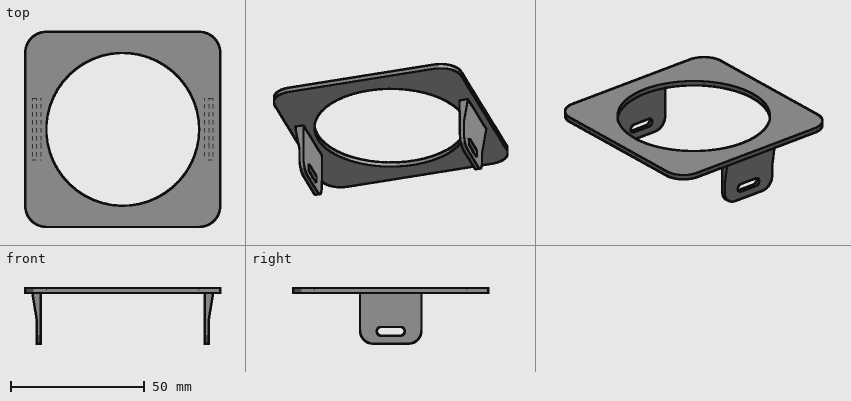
import cadquery as cq

plate_side = 73.0
plate_thickness = 1.9
plate_corner_radius = 8.0
opening_diameter = 57.0

total_height = 20.9
tab_width = 23.0
tab_thickness = 1.6
tab_inner_x = 30.6
tab_root_thickness = 3.2
tab_corner_radius = 5.0
taper_end_depth = 11.75

slot_length = 10.4
slot_height = 3.2
slot_depth = 16.2


def make_plate():
    return (
        cq.Workplane("XY")
        .rect(plate_side, plate_side)
        .circle(opening_diameter / 2)
        .extrude(-plate_thickness)
        .edges("|Z and (>X or <X)")
        .fillet(plate_corner_radius)
    )


def make_tab():
    """Tab on the +X side, thickened by a sloping outer face at its root."""
    tab_outer_x = tab_inner_x + tab_thickness
    root_outer_x = tab_inner_x + tab_root_thickness
    profile = [
        (tab_inner_x, -plate_thickness),
        (root_outer_x, -plate_thickness),
        (tab_outer_x, -taper_end_depth),
        (tab_outer_x, -total_height),
        (tab_inner_x, -total_height),
    ]
    tab = (
        cq.Workplane("XZ")
        .polyline(profile)
        .close()
        .extrude(tab_width / 2, both=True)
        .edges("|X and <Z")
        .fillet(tab_corner_radius)
    )
    slot = (
        cq.Workplane("YZ", origin=(tab_inner_x, 0, -slot_depth))
        .slot2D(slot_length, slot_height)
        .extrude(tab_root_thickness)
    )
    return tab.cut(slot)


right_tab = make_tab()
left_tab = right_tab.mirror("YZ")
result = make_plate().union(right_tab).union(left_tab)